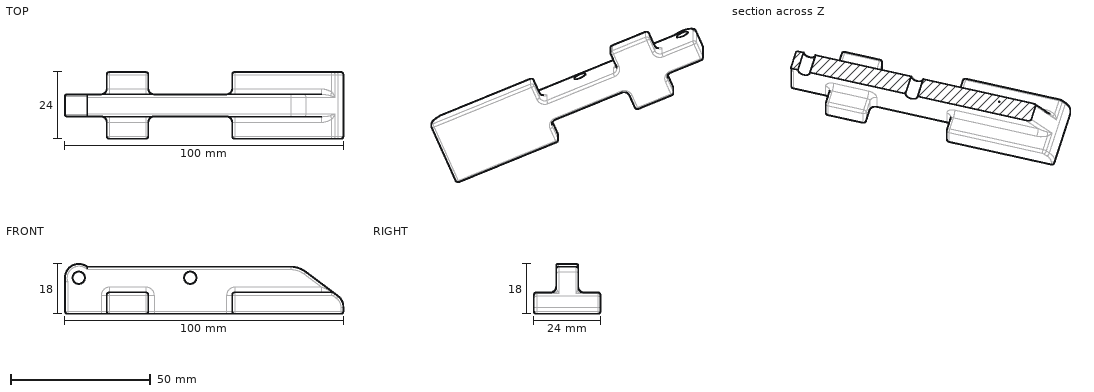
import cadquery as cq
import math

length = 100.0
plate_width = 8.0
plate_height = 17.0
edge_round = 1.0

slope_angle = math.atan2(3.0, 4.0)
slope_end_z = 5.0
plate_crest_round = 9.0
nose_foot_round = 5.0

eye_radius = 5.0
eye_round = 0.75
eye_z = 13.0
hole_diameter = 4.35
hole_pitch = 40.0

pad_span = 24.0
pad_height = 7.75
front_pad_start = 15.0
front_pad_length = 15.0
rear_pad_start = 60.0
rear_pad_crest_round = 2.0
root_fillet = 2.0

tolerance = 0.01


def extrude_across(outline, width):
    """Extrude an XZ outline symmetrically about Y = 0."""
    return outline.extrude(width / 2, both=True)


def arc_point(center_x, center_z, radius, angle):
    """Point on an arc, with the angle measured from +Z towards +X."""
    return (center_x + radius * math.sin(angle), center_z + radius * math.cos(angle))


def nose_outline(start_points, top_z, crest_round):
    """Closed XZ outline: the start points, a top at top_z, then the rounded nose down to the base."""
    crest_corner_x = length - (top_z - slope_end_z) / math.tan(slope_angle)
    crest_x = crest_corner_x - crest_round * math.tan(slope_angle / 2)
    crest = (crest_x, top_z - crest_round, crest_round)

    foot_turn = math.pi / 2 - slope_angle
    foot_z = slope_end_z - nose_foot_round * math.tan(foot_turn / 2)
    foot = (length - nose_foot_round, foot_z, nose_foot_round)

    return (
        cq.Workplane("XZ")
        .polyline(start_points)
        .lineTo(crest_x, top_z)
        .threePointArc(arc_point(*crest, slope_angle / 2), arc_point(*crest, slope_angle))
        .lineTo(*arc_point(*foot, slope_angle))
        .threePointArc(arc_point(*foot, slope_angle + foot_turn / 2), (length, foot_z))
        .lineTo(length, 0)
        .close()
    )


def raised_side_edges(body):
    """Edges around the two Y end faces, apart from those lying on the base."""
    edges = body.faces("<Y or >Y").edges().vals()
    return [edge for edge in edges if edge.BoundingBox().zmax > tolerance]


def make_plate():
    """Plate with rounded side edges and a notched upper corner that the eye fills."""
    start_points = [
        (0, 0),
        (0, eye_z),
        (eye_radius, eye_z),
        (eye_radius, plate_height),
    ]
    body = extrude_across(nose_outline(start_points, plate_height, plate_crest_round), plate_width)

    def borders_notch(edge):
        center = edge.Center()
        return center.x < eye_radius + tolerance and center.z > eye_z - tolerance

    rounded_edges = [edge for edge in raised_side_edges(body) if not borders_notch(edge)]
    return body.newObject(rounded_edges).fillet(edge_round)


def make_eye():
    """Disc with rounded rims that stands slightly above the plate."""
    outline = cq.Workplane("XZ").center(eye_radius, eye_z).circle(eye_radius)
    return extrude_across(outline, plate_width).faces("<Y or >Y").edges().fillet(eye_round)


def make_front_pad():
    """Rectangular pad rounded on its upright and top edges."""
    outline = (
        cq.Workplane("XZ")
        .moveTo(front_pad_start, 0)
        .rect(front_pad_length, pad_height, centered=False)
    )
    body = extrude_across(outline, pad_span)
    return body.edges("|Z").fillet(edge_round).faces(">Z").edges().fillet(edge_round)


def make_rear_pad():
    """Long pad that shares the nose of the plate."""
    start_points = [(rear_pad_start, 0), (rear_pad_start, pad_height)]
    body = extrude_across(nose_outline(start_points, pad_height, rear_pad_crest_round), pad_span)
    back_top_edge = body.faces("<X").edges(">Z").vals()
    return body.newObject(raised_side_edges(body) + back_top_edge).fillet(edge_round)


def fillet_pad_roots(body):
    """Blend the pads into the sides of the plate, stopping short of the nose slope."""
    rear_pad_flat_end = length - (pad_height - slope_end_z) / math.tan(slope_angle)

    def is_pad_root(edge):
        box = edge.BoundingBox()
        on_plate_side = box.ylen < tolerance and abs(abs(edge.Center().y) - plate_width / 2) < tolerance
        beside_pad = front_pad_start - tolerance < box.xmin and box.xmax < rear_pad_flat_end
        above_base = tolerance < box.zmax < pad_height + tolerance
        return on_plate_side and beside_pad and above_base

    roots = [edge for edge in body.edges().vals() if is_pad_root(edge)]
    return body.newObject(roots).fillet(root_fillet)


def make_cross_holes():
    """Cutters for the eye hole and the second hole along the plate."""
    centers = [(eye_radius, eye_z), (eye_radius + hole_pitch, eye_z)]
    outline = cq.Workplane("XZ").pushPoints(centers).circle(hole_diameter / 2)
    return extrude_across(outline, pad_span)


body = make_plate().union(make_eye()).union(make_front_pad()).union(make_rear_pad())
body = fillet_pad_roots(body)
body = body.faces("<Z").edges().fillet(edge_round)
result = body.cut(make_cross_holes())